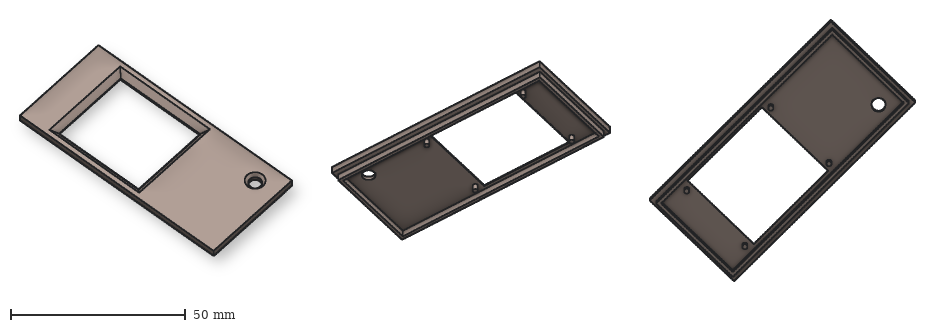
import cadquery as cq

length = 74.0
width = 34.0
height = 4.6
plate_thickness = 2.4

rim_inset_x = 1.0
rim_inset_y = 1.55
rim_wall = 1.0

window_center_x = -10.1
window_length = 30.35
window_width = 26.65
window_flare = 2.0
window_land = 0.4

hole_x = 29.1
hole_y = 10.0
hole_diameter = 4.0
countersink_diameter = 6.0
countersink_depth = 1.0

pin_diameter = 1.5
pin_length = 2.0
pin_spacing_x = 34.3
pin_spacing_y = 23.4

plate_bottom = height - plate_thickness
rim_length = length - 2 * rim_inset_x
rim_width = width - 2 * rim_inset_y


def make_plate():
    return (
        cq.Workplane("XY")
        .workplane(offset=plate_bottom)
        .rect(length, width)
        .extrude(plate_thickness)
    )


def make_rim():
    return (
        cq.Workplane("XY")
        .rect(rim_length, rim_width)
        .rect(rim_length - 2 * rim_wall, rim_width - 2 * rim_wall)
        .extrude(plate_bottom)
    )


def make_window_cutter():
    land = (
        cq.Workplane("XY")
        .workplane(offset=plate_bottom)
        .center(window_center_x, 0)
        .rect(window_length, window_width)
        .extrude(window_land)
    )
    flare = (
        land.faces(">Z")
        .workplane()
        .rect(window_length, window_width)
        .workplane(offset=plate_thickness - window_land)
        .rect(window_length + 2 * window_flare, window_width + 2 * window_flare)
        .loft(combine=False)
    )
    return land.union(flare)


def make_hole_cutter():
    return (
        cq.Workplane("XZ")
        .moveTo(0, 0)
        .lineTo(hole_diameter / 2, 0)
        .lineTo(hole_diameter / 2, height - countersink_depth)
        .lineTo(countersink_diameter / 2, height)
        .lineTo(0, height)
        .close()
        .revolve(360, (0, 0, 0), (0, 1, 0))
        .translate((hole_x, hole_y, 0))
    )


def make_pins():
    return (
        cq.Workplane("XY")
        .workplane(offset=plate_bottom - pin_length)
        .center(window_center_x, 0)
        .rarray(pin_spacing_x, pin_spacing_y, 2, 2)
        .circle(pin_diameter / 2)
        .extrude(pin_length)
    )


body = make_plate().union(make_rim()).union(make_pins())
result = body.cut(make_window_cutter()).cut(make_hole_cutter())